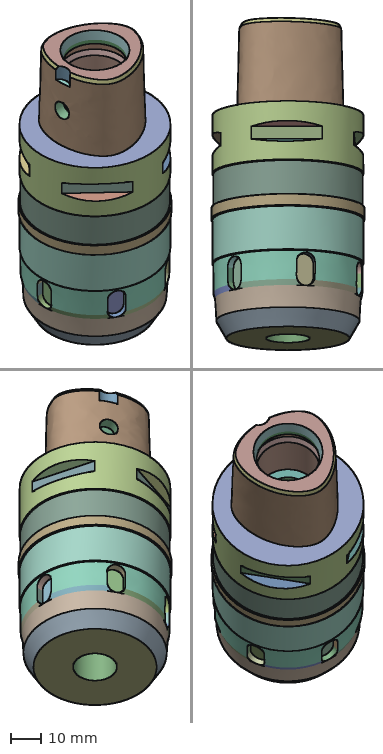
import cadquery as cq
import math

overall_length = 105.0
outer_diameter = 50.7
nose_top = 5.9
sleeve_top = 13.2
nut_bevel_top = 15.1
nut_top = 24.9
ring_bottom = 39.7
ring_top = 43.8
flange_bottom = 55.1
flange_top = 75.1
edge_bevel = 0.3

nose_radius = 20.4
sleeve_bottom_radius = 23.7
sleeve_top_radius = 24.2
nut_bottom_radius = 24.7
nut_radius = 24.8
barrel_radius = nut_radius
collar_radius = 25.0
ring_radius = outer_diameter / 2
flange_radius = collar_radius

shank_base_radius = 17.6
shank_taper = 1 / 40
lobe_count = 3
lobe_height = 1.2
outline_points = 36
lip_height = 1.4
lip_width = 0.7

bore_radius = 7.2
mouth_radius = 11.4
socket_radius = 10.4
groove_radius = 11.5
mouth_depth = 3.2
groove_start_depth = 4.7
groove_end_depth = 7.8
groove_cone_depth = 9.5
socket_depth = 25.2

keyway_radius = 3.8
keyway_depth = 5.2
keyway_inner_reach = 13.9
pin_hole_radius = 3.2
pin_hole_height = 88.9
pin_hole_depth = 4.2

gripper_count = 4
gripper_height = 65.0
gripper_floor_distance = 22.0
gripper_floor_width = 4.2
gripper_wall_angle = 25.0

slot_count = 6
slot_width = 6.3
slot_floor_distance = 21.9
slot_bottom = sleeve_top
slot_top = 24.3


def make_body():
    """Revolve the stepped outside below the shank."""
    profile = [
        (0, 0),
        (nose_radius, 0),
        (sleeve_bottom_radius, nose_top),
        (sleeve_top_radius, sleeve_top),
        (nut_bottom_radius, nut_bevel_top),
        (nut_radius, nut_top),
        (collar_radius, nut_top + edge_bevel),
        (collar_radius, ring_bottom),
        (ring_radius, ring_bottom + edge_bevel),
        (ring_radius, ring_top),
        (barrel_radius, ring_top),
        (barrel_radius, flange_bottom),
        (flange_radius, flange_bottom + edge_bevel),
        (flange_radius, flange_top),
        (0, flange_top),
    ]
    return cq.Workplane("XZ").polyline(profile).close().revolve(360, (0, 0), (0, 1))


def shank_radius(height):
    """Mean radius of the tapered shank at a given height."""
    return shank_base_radius - shank_taper * (height - flange_top)


def polygon_wire(mean_radius, height):
    """Rounded three-lobed outline with one lobe pointing to +Y."""

    points = []
    for index in range(outline_points):
        angle = 2 * math.pi * index / outline_points - math.pi / 2
        lobe_phase = lobe_count * (angle - math.pi / 2)
        reach = mean_radius + lobe_height * math.cos(lobe_phase)
        slope = -lobe_count * lobe_height * math.sin(lobe_phase)
        x = reach * math.cos(angle) - slope * math.sin(angle)
        y = reach * math.sin(angle) + slope * math.cos(angle)
        points.append(cq.Vector(x, y, height))
    return cq.Wire.assembleEdges([cq.Edge.makeSpline(points, periodic=True)])


def loft_between(lower_wire, upper_wire):
    """Solid between two matching outlines."""
    return cq.Workplane(cq.Solid.makeLoft([lower_wire, upper_wire], True))


def make_shank():
    """Tapered polygon shank with a bevelled lip."""
    lip_bottom = overall_length - lip_height
    lip_radius = shank_radius(lip_bottom)
    base = polygon_wire(shank_base_radius, flange_top)
    shoulder = polygon_wire(lip_radius, lip_bottom)
    end = polygon_wire(lip_radius - lip_width, overall_length)
    return loft_between(base, shoulder).union(loft_between(shoulder, end))


def make_bore():
    """Through bore with a socket, relief groove and tapered mouth at the shank end."""
    profile = [
        (0, 0),
        (bore_radius, 0),
        (bore_radius, overall_length - socket_depth),
        (socket_radius, overall_length - socket_depth),
        (socket_radius, overall_length - groove_cone_depth),
        (groove_radius, overall_length - groove_end_depth),
        (groove_radius, overall_length - groove_start_depth),
        (socket_radius, overall_length - groove_start_depth),
        (socket_radius, overall_length - mouth_depth),
        (mouth_radius, overall_length),
        (0, overall_length),
    ]
    return cq.Workplane("XZ").polyline(profile).close().revolve(360, (0, 0), (0, 1))


def make_keyway():
    """Round-backed keyway open at the shank end."""
    return (
        cq.Workplane("XY", origin=(0, -keyway_inner_reach - keyway_radius, overall_length))
        .circle(keyway_radius)
        .extrude(-keyway_depth)
    )


def make_pin_hole():
    """Blind cross hole on the flat side of the shank."""
    surface_reach = shank_radius(pin_hole_height) - lobe_height
    floor_reach = surface_reach - pin_hole_depth
    return (
        cq.Workplane("XZ", origin=(0, -floor_reach, pin_hole_height))
        .circle(pin_hole_radius)
        .extrude(ring_radius - floor_reach)
    )


def make_gripper_groove(angle):
    """Straight groove with sloping walls, its floor square to the given direction."""
    cut_reach = ring_radius - gripper_floor_distance
    floor_half = gripper_floor_width / 2
    mouth_half = floor_half + cut_reach * math.tan(math.radians(gripper_wall_angle))
    section = [
        (gripper_floor_distance, gripper_height - floor_half),
        (ring_radius, gripper_height - mouth_half),
        (ring_radius, gripper_height + mouth_half),
        (gripper_floor_distance, gripper_height + floor_half),
    ]
    groove = cq.Workplane("XZ").polyline(section).close().extrude(ring_radius, both=True)
    return groove.rotate((0, 0, 0), (0, 0, 1), angle)


def make_spanner_slot(angle):
    """Upright round-ended slot with a flat floor."""
    slot_middle = (slot_bottom + slot_top) / 2
    slot = (
        cq.Workplane("YZ", origin=(slot_floor_distance, 0, slot_middle))
        .slot2D(slot_top - slot_bottom, slot_width, 90)
        .extrude(ring_radius - slot_floor_distance)
    )
    return slot.rotate((0, 0, 0), (0, 0, 1), angle)


result = make_body().union(make_shank())
result = result.cut(make_bore()).cut(make_keyway()).cut(make_pin_hole())

gripper_pitch = 360 / gripper_count
for index in range(gripper_count):
    result = result.cut(make_gripper_groove((index + 0.5) * gripper_pitch))

slot_pitch = 360 / slot_count
for index in range(slot_count):
    result = result.cut(make_spanner_slot((index + 0.5) * slot_pitch))